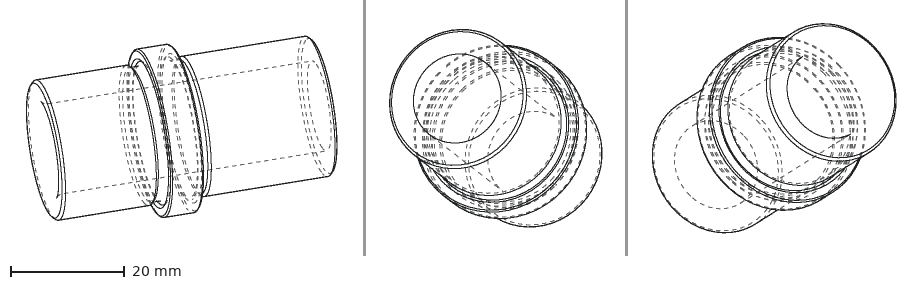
import cadquery as cq

length = 50.0
front_y = -length / 2
back_y = length / 2

barrel_radius = 12.5
end_chamfer = 0.5

collar_radius = 15.0
collar_width = 6.0
collar_chamfer = 0.3
front_shank_length = 19.0
collar_front_y = front_y + front_shank_length
collar_back_y = collar_front_y + collar_width

relief_radius = 12.0
relief_width = 1.5
relief_chamfer = barrel_radius - relief_radius
undercut_radius = 13.3
undercut_depth = 0.5
undercut_fillet = 0.5

bore_radius = 8.0
mouth_fillet = 2.0


def revolve_about_y(section):
    """Full turn of a closed section about the Y axis."""
    return section.revolve(360, (0, 0, 0), (0, 1, 0))


def make_body():
    """Solid turned body, revolved about Y, with plain square steps at the collar."""
    outline = [
        (0, front_y),
        (barrel_radius - end_chamfer, front_y),
        (barrel_radius, front_y + end_chamfer),
        (barrel_radius, collar_front_y),
        (collar_radius - collar_chamfer, collar_front_y),
        (collar_radius, collar_front_y + collar_chamfer),
        (collar_radius, collar_back_y - collar_chamfer),
        (collar_radius - collar_chamfer, collar_back_y),
        (barrel_radius, collar_back_y),
        (barrel_radius, back_y - end_chamfer),
        (barrel_radius - end_chamfer, back_y),
        (0, back_y),
    ]
    return revolve_about_y(cq.Workplane("XY").polyline(outline).close())


def make_relief(face_y, outward):
    """Ring cut from a barrel and collar face; outward is -1 at the front face, +1 at the back."""
    relief_end_y = face_y + outward * relief_width
    floor_y = face_y - outward * undercut_depth
    section = (
        cq.Workplane("XY")
        .moveTo(barrel_radius, relief_end_y + outward * relief_chamfer)
        .lineTo(relief_radius, relief_end_y)
        .lineTo(relief_radius, floor_y + outward * undercut_fillet)
        .radiusArc((relief_radius + undercut_fillet, floor_y), -outward * undercut_fillet)
        .lineTo(undercut_radius - undercut_depth, floor_y)
        .lineTo(undercut_radius, face_y)
        .lineTo(barrel_radius, face_y)
        .close()
    )
    return revolve_about_y(section)


def make_bore():
    """Through bore, flaring at the front along a quarter-round mouth."""
    mouth_radius = bore_radius + mouth_fillet
    section = (
        cq.Workplane("XY")
        .moveTo(0, front_y)
        .lineTo(mouth_radius, front_y)
        .radiusArc((bore_radius, front_y + mouth_fillet), mouth_fillet)
        .lineTo(bore_radius, back_y)
        .lineTo(0, back_y)
        .close()
    )
    return revolve_about_y(section)


result = (
    make_body()
    .cut(make_relief(collar_front_y, -1))
    .cut(make_relief(collar_back_y, 1))
    .cut(make_bore())
)